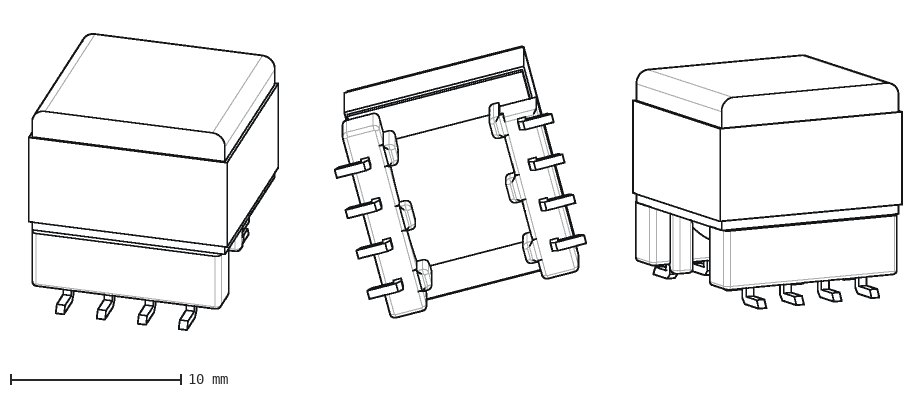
import cadquery as cq

CORE_WIDTH = 11.8
CORE_DEPTH = 10.65
CORE_BOTTOM = 4.63
CORE_TOP = 12.51
CORE_TOP_RADIUS = 0.78

BAND_WIDTH = 12.13
BAND_DEPTH = 10.92
BAND_BOTTOM = 5.2
BAND_TOP = 10.73

BOBBIN_X = -0.08
FLANGE_WIDTH = 11.54
FLANGE_OUTER_Y = 5.73
FLANGE_THICKNESS = 2.22
FLANGE_BOTTOM = 1.08
REAR_FLANGE_CUTBACK = 1.48
CORNER_RADIUS = 0.3
BOTTOM_RADIUS = 0.25

FOOT_WIDTHS = (1.3, 1.53, 1.3)
FOOT_PITCH = 3.88
FOOT_THICKNESS = 0.63
FOOT_BOTTOM = 0.58

WINDING_RADIUS = 4.22
WINDING_BOTTOM = 1.93

TERMINALS_PER_SIDE = 4
TERMINAL_PITCH = 2.51
TERMINAL_WIDTH = 0.51
TERMINAL_THICKNESS = 0.48
TERMINAL_INNER_Y = 4.53
TERMINAL_TIP_Y = 6.6
TIP_SLANT = 0.26
BEND_CHAMFER = 0.32

FLANGE_INNER_Y = FLANGE_OUTER_Y - FLANGE_THICKNESS
FLANGE_LEFT_X = BOBBIN_X - FLANGE_WIDTH / 2
FLANGE_RIGHT_X = BOBBIN_X + FLANGE_WIDTH / 2


def block(x_range, y_range, z_range):
    """Box between the given limits on each axis."""
    limits = (x_range, y_range, z_range)
    sizes = [high - low for low, high in limits]
    corner = tuple(low for low, high in limits)
    return cq.Workplane("XY").box(*sizes, centered=False).translate(corner)


def centred_block(width, depth, bottom, top):
    """Box centred on the Z axis."""
    return block((-width / 2, width / 2), (-depth / 2, depth / 2), (bottom, top))


def make_core():
    core = centred_block(CORE_WIDTH, CORE_DEPTH, CORE_BOTTOM, CORE_TOP)
    core = core.edges(">Z and |Y").fillet(CORE_TOP_RADIUS)
    return core.union(centred_block(BAND_WIDTH, BAND_DEPTH, BAND_BOTTOM, BAND_TOP))


def make_flange(right_x, rounded_edges):
    """Flange on the +Y side, reaching from the common left end to right_x."""
    flange = block(
        (FLANGE_LEFT_X, right_x),
        (FLANGE_INNER_Y, FLANGE_OUTER_Y),
        (FLANGE_BOTTOM, CORE_BOTTOM),
    )
    return flange.edges(rounded_edges).fillet(CORNER_RADIUS).faces("<Z").edges().fillet(BOTTOM_RADIUS)


def make_foot(x, width):
    """Standoff foot on the inner face of the +Y flange, blended into the flange underside."""
    x_range = (x - width / 2, x + width / 2)
    foot = block(x_range, (FLANGE_INNER_Y - FOOT_THICKNESS, FLANGE_INNER_Y), (FOOT_BOTTOM, CORE_BOTTOM))
    foot = foot.edges("|Z and <Y").fillet(CORNER_RADIUS)
    foot = foot.faces("<Z").edges().fillet(BOTTOM_RADIUS)
    web = (
        cq.Workplane("YZ", origin=(x, 0, 0))
        .moveTo(FLANGE_INNER_Y, FLANGE_BOTTOM - BOTTOM_RADIUS)
        .radiusArc((FLANGE_INNER_Y + BOTTOM_RADIUS, FLANGE_BOTTOM), BOTTOM_RADIUS)
        .lineTo(FLANGE_INNER_Y + BOTTOM_RADIUS, FLANGE_BOTTOM + BOTTOM_RADIUS)
        .lineTo(FLANGE_INNER_Y, FLANGE_BOTTOM + BOTTOM_RADIUS)
        .close()
        .extrude(width / 2, both=True)
    )
    return foot.union(web)


def make_terminal(x):
    """Bent terminal on the +Y side; its top end is buried in the flange."""
    leg_outer_y = TERMINAL_INNER_Y + TERMINAL_THICKNESS
    leg_top = FLANGE_BOTTOM + TERMINAL_THICKNESS
    profile = [
        (TERMINAL_INNER_Y, leg_top),
        (TERMINAL_INNER_Y, BEND_CHAMFER),
        (TERMINAL_INNER_Y + BEND_CHAMFER, 0),
        (TERMINAL_TIP_Y, 0),
        (TERMINAL_TIP_Y - TIP_SLANT, TERMINAL_THICKNESS),
        (leg_outer_y, TERMINAL_THICKNESS),
        (leg_outer_y, leg_top),
    ]
    bar = cq.Workplane("YZ", origin=(x, 0, 0)).polyline(profile).close()
    return bar.extrude(TERMINAL_WIDTH / 2, both=True)


def make_side_fittings():
    """Feet and terminals of the +Y side."""
    fittings = cq.Workplane("XY")
    for index, width in enumerate(FOOT_WIDTHS):
        offset = index - (len(FOOT_WIDTHS) - 1) / 2
        fittings = fittings.union(make_foot(BOBBIN_X + offset * FOOT_PITCH, width))
    for index in range(TERMINALS_PER_SIDE):
        offset = index - (TERMINALS_PER_SIDE - 1) / 2
        fittings = fittings.union(make_terminal(BOBBIN_X + offset * TERMINAL_PITCH))
    return fittings


def make_winding():
    axis_height = WINDING_BOTTOM + WINDING_RADIUS
    return (
        cq.Workplane("XZ", origin=(BOBBIN_X, 0, axis_height))
        .circle(WINDING_RADIUS)
        .extrude(FLANGE_INNER_Y, both=True)
    )


rear_flange = make_flange(FLANGE_RIGHT_X - REAR_FLANGE_CUTBACK, "|Z and <X")
front_flange = make_flange(FLANGE_RIGHT_X, "|Z").mirror("XZ")
rear_fittings = make_side_fittings()
front_fittings = rear_fittings.mirror("XZ")

result = make_core().union(make_winding())
for piece in (rear_flange, rear_fittings, front_flange, front_fittings):
    result = result.union(piece)